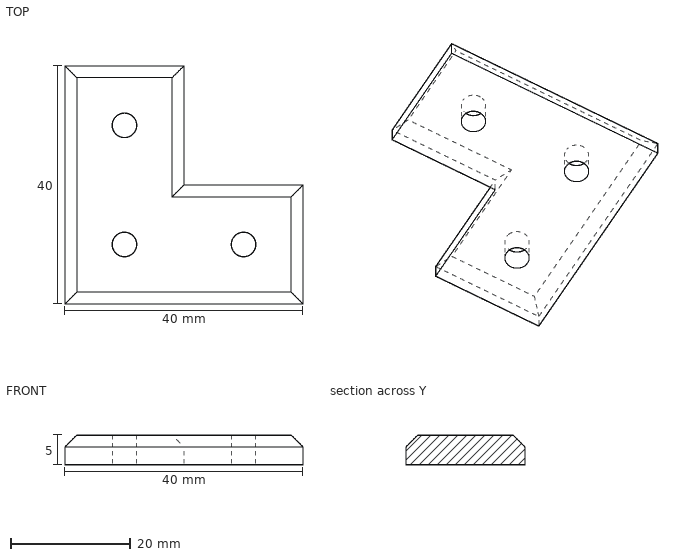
import cadquery as cq

leg_length = 40.0
leg_width = 20.0
thickness = 5.0
bevel = 2.0
hole_diameter = 4.1

near = leg_width / 2
far = leg_length - leg_width / 2
hole_centers = [(near, near), (far, near), (near, far)]

plate = (
    cq.Workplane("XY")
    .polyline([
        (0, 0),
        (leg_length, 0),
        (leg_length, leg_width),
        (leg_width, leg_width),
        (leg_width, leg_length),
        (0, leg_length),
    ])
    .close()
    .extrude(thickness)
)

beveled_plate = plate.faces(">Z").chamfer(bevel)

holes = (
    cq.Workplane("XY")
    .pushPoints(hole_centers)
    .circle(hole_diameter / 2)
    .extrude(thickness)
)

result = beveled_plate.cut(holes)